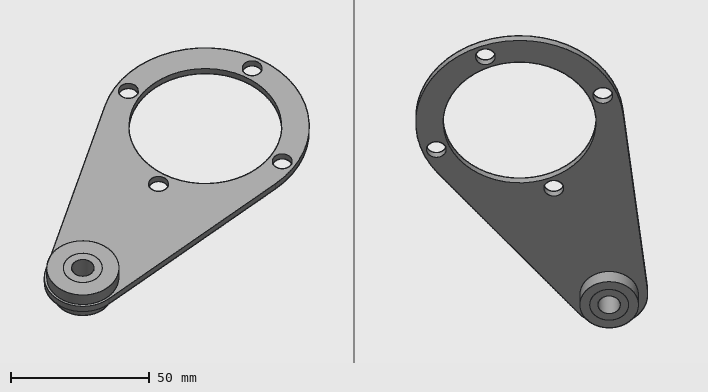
import cadquery as cq
import math

ring_radius = 37.5
pivot_end_radius = 13.9
overall_length = 136.5
pivot_distance = overall_length - ring_radius - pivot_end_radius
plate_thickness = 2.9
window_diameter = 55.1

mount_hole_count = 4
mount_hole_diameter = 7.1
mount_circle_radius = 32.5

upper_collar_diameter = 26.0
upper_collar_height = 5.2
lower_collar_diameter = 21.1
lower_collar_height = 6.0
sleeve_diameter = 14.0
bore_diameter = 8.0
sleeve_length = lower_collar_height + plate_thickness + upper_collar_height

pivot_center = (0, -pivot_distance)


def plate_outline():
    """Hull of the ring circle and the pivot-end circle."""
    tangent_angle = math.asin((ring_radius - pivot_end_radius) / pivot_distance)
    across = math.cos(tangent_angle)
    down = math.sin(tangent_angle)
    ring_x = ring_radius * across
    ring_y = -ring_radius * down
    pivot_x = pivot_end_radius * across
    pivot_y = -pivot_distance - pivot_end_radius * down
    return (
        cq.Workplane("XY")
        .moveTo(ring_x, ring_y)
        .threePointArc((0, ring_radius), (-ring_x, ring_y))
        .lineTo(-pivot_x, pivot_y)
        .threePointArc((0, -pivot_distance - pivot_end_radius), (pivot_x, pivot_y))
        .close()
    )


def make_plate():
    """Flat arm with the window, the mounting holes and the sleeve hole."""
    plate = plate_outline().extrude(plate_thickness)
    window = cq.Workplane("XY").circle(window_diameter / 2).extrude(plate_thickness)
    mount_holes = (
        cq.Workplane("XY")
        .polarArray(mount_circle_radius, 0, 360, mount_hole_count)
        .circle(mount_hole_diameter / 2)
        .extrude(plate_thickness)
    )
    sleeve_hole = (
        cq.Workplane("XY")
        .center(*pivot_center)
        .circle(sleeve_diameter / 2)
        .extrude(plate_thickness)
    )
    return plate.cut(window).cut(mount_holes).cut(sleeve_hole)


def make_pivot_tube(outer_diameter, inner_diameter, bottom, length):
    """Round tube on the pivot axis, standing on the given height."""
    return (
        cq.Workplane("XY", origin=(0, 0, bottom))
        .center(*pivot_center)
        .circle(outer_diameter / 2)
        .circle(inner_diameter / 2)
        .extrude(length)
    )


plate = make_plate()
upper_collar = make_pivot_tube(
    upper_collar_diameter, sleeve_diameter, plate_thickness, upper_collar_height
)
lower_collar = make_pivot_tube(
    lower_collar_diameter, sleeve_diameter, -lower_collar_height, lower_collar_height
)
sleeve = make_pivot_tube(sleeve_diameter, bore_diameter, -lower_collar_height, sleeve_length)

result = cq.Compound.makeCompound(
    [plate.val(), upper_collar.val(), lower_collar.val(), sleeve.val()]
)